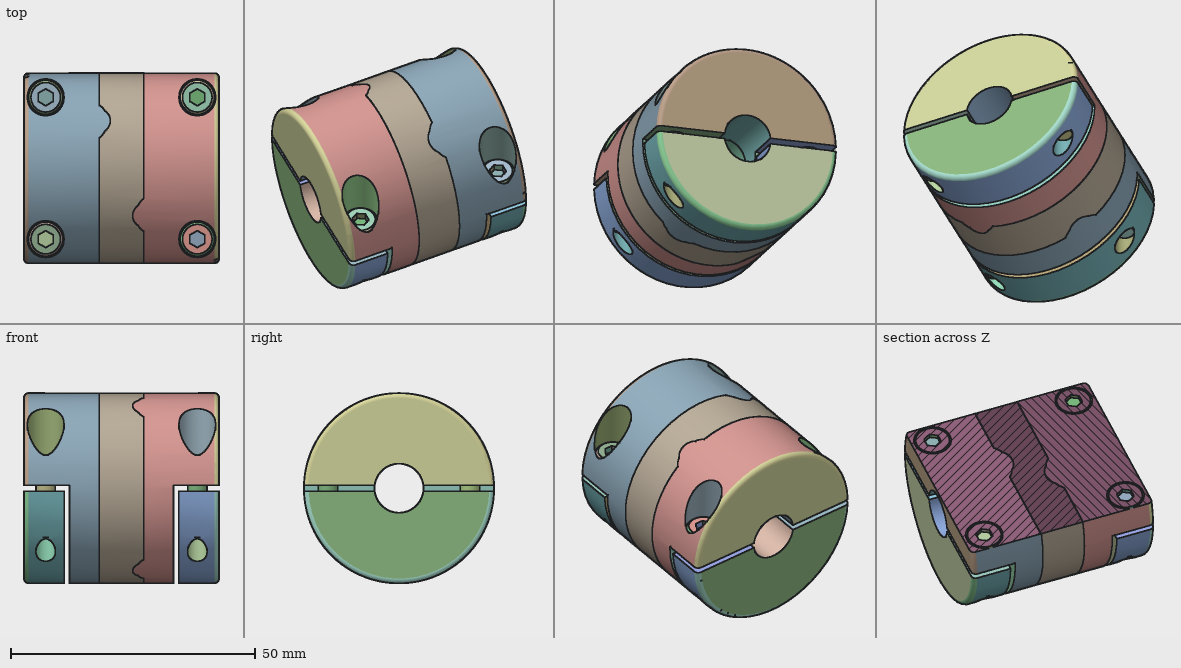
import cadquery as cq
import math


length = 40.0
outer_diameter = 39.0
outer_radius = outer_diameter / 2
bore_diameter = 10.0
end_fillet = 1.0

sleeve_length = 9.1
hub_length = (length - sleeve_length) / 2
hub_inner_x = -sleeve_length / 2

cap_length = 8.3
cap_slit_width = 1.0
split_gap = 1.2

screw_x = -15.5
screw_y = 14.5
counterbore_diameter = 7.5
seat_z = 2.75
head_diameter = 7.0
head_height = 4.0
head_edge_chamfer = 0.5
socket_across_flats = 3.0
socket_depth = 1.5
shank_diameter = 4.0
shank_end_z = -10.0

tooth_angles = (-30.0, -150.0)
tooth_height = 2.3
tooth_half_width = 3.9
shoulder_height = tooth_height / 2
shoulder_half_width = 2.4
tooth_flank_radius = 3.6


def cylinder_x(diameter, start_x, axial_length):
    """Cylinder along X that starts at start_x."""
    return cq.Workplane("YZ", origin=(start_x, 0, 0)).circle(diameter / 2).extrude(axial_length)


def cylinder_z(diameter, y, bottom_z, top_z):
    """Cylinder along Z on a screw axis."""
    plane = cq.Workplane("XY", origin=(screw_x, y, bottom_z))
    return plane.circle(diameter / 2).extrude(top_z - bottom_z)


def make_tooth(angle):
    """Rounded tooth that runs radially from the axis and points to +X."""
    tip_x = hub_inner_x + tooth_height
    shoulder_x = hub_inner_x + shoulder_height
    tooth = (
        cq.Workplane("XY")
        .moveTo(hub_inner_x, -tooth_half_width)
        .radiusArc((shoulder_x, -shoulder_half_width), -tooth_flank_radius)
        .threePointArc((tip_x, 0), (shoulder_x, shoulder_half_width))
        .radiusArc((hub_inner_x, tooth_half_width), -tooth_flank_radius)
        .close()
        .extrude(outer_diameter)
    )
    tooth = tooth.rotate((0, 0, 0), (1, 0, 0), angle)
    return tooth.intersect(cylinder_x(outer_diameter, hub_inner_x, sleeve_length))


def cut_clamp_slits(hub):
    """Separate the lower half of the hub end as a cap."""
    slit_end_x = -length / 2 + cap_length + cap_slit_width
    split = (
        cq.Workplane("XY")
        .box(slit_end_x + length / 2, outer_diameter, split_gap, centered=(False, True, True))
        .translate((-length / 2, 0, 0))
    )
    cap_slit = (
        cq.Workplane("XY")
        .box(cap_slit_width, outer_diameter, outer_radius, centered=(False, True, False))
        .translate((slit_end_x - cap_slit_width, 0, -outer_radius))
    )
    return hub.cut(split).cut(cap_slit)


def make_screw(y):
    """Socket head screw that fills its hole from the counterbore seat down to its end."""
    head_top_z = seat_z + head_height
    head = cylinder_z(head_diameter, y, seat_z, head_top_z).faces(">Z").chamfer(head_edge_chamfer)
    socket_across_corners = socket_across_flats / math.cos(math.radians(30))
    socket = (
        cq.Workplane("XY", origin=(screw_x, y, head_top_z))
        .transformed(rotate=(0, 0, 90))
        .polygon(6, socket_across_corners)
        .extrude(-socket_depth)
    )
    shank = cylinder_z(shank_diameter, y, shank_end_z, seat_z)
    return head.cut(socket).union(shank)


def make_hub():
    """Hub on the -X side with its teeth, clamp cap and the two screws that hold the cap."""
    hub = cylinder_x(outer_diameter, -length / 2, hub_length).faces("<X").edges().fillet(end_fillet)
    for angle in tooth_angles:
        hub = hub.union(make_tooth(angle))
    hub = hub.cut(cylinder_x(bore_diameter, -length / 2, length))
    hub = cut_clamp_slits(hub)
    for y in (-screw_y, screw_y):
        hub = hub.cut(cylinder_z(counterbore_diameter, y, seat_z, outer_radius))
        hub = hub.cut(cylinder_z(shank_diameter, y, -outer_radius, seat_z))
        hub = hub.union(make_screw(y))
    return hub


def make_sleeve(hubs):
    """Sleeve with recesses that match the teeth of both hubs."""
    sleeve = cylinder_x(outer_diameter, hub_inner_x, sleeve_length)
    sleeve = sleeve.cut(cylinder_x(bore_diameter, hub_inner_x, sleeve_length))
    for hub in hubs:
        sleeve = sleeve.cut(hub)
    return sleeve


hubs = [make_hub().rotate((0, 0, 0), (0, 0, 1), turn) for turn in (0, 180)]
sleeve = make_sleeve(hubs)

result = cq.Compound.makeCompound([*[hub.val() for hub in hubs], sleeve.val()])